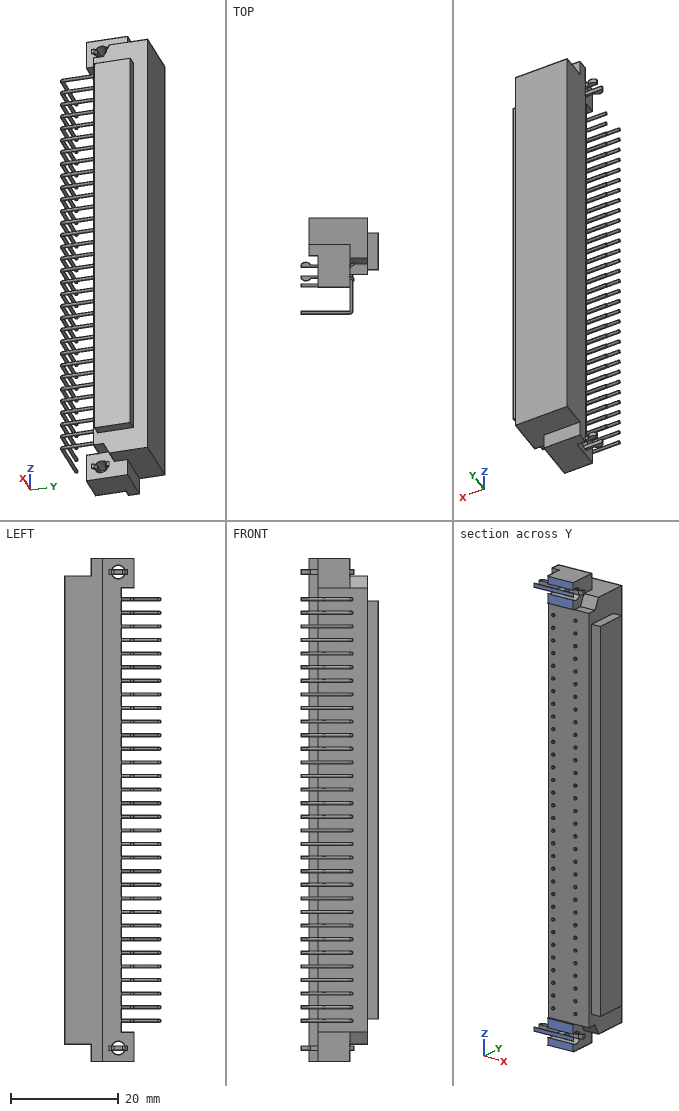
import cadquery as cq


total_length = 94.0
body_length = 87.5
body_depth_x = 11.0
body_width_y = 10.6
step_depth_x = 1.7
step_y = -7.1

ear_depth_x = 7.65
ear_back_y = -4.95
ear_front_y = -13.0
ear_length = 5.5
end_slope_back_y = -7.5
end_slope_front_y = -8.65

shroud_height_x = 2.0
shroud_back_y = -2.8
shroud_front_y = -9.75
shroud_length = 78.1

pin_count = 32
pin_pitch = 2.54
pin_diameter = 0.6
pin_bend_radius = 0.31
pin_tip_x = -1.45
row_spacing = 2 * pin_pitch
long_row_x = 7.95
long_row_y = -17.72
pin_root_depth = 1.0

hole_diameter = 2.5
hole_spacing_pitches = 35
hole_spacing = hole_spacing_pitches * pin_pitch
hole_y = -10.05
clip_thickness = 0.85
clip_half_width = hole_diameter / 2
clip_half_gap = 0.8
clip_barb_half_width = 1.75
clip_barb_length = 1.8
clip_lip_length = 0.75
clip_lip_half_width = 1.75
clip_web_thickness = 1.5

ear_inner_z = total_length / 2 - ear_length


def box(x_range, y_range, z_range):
    """Box spanning the given coordinate ranges."""
    sizes = [high - low for low, high in (x_range, y_range, z_range)]
    corner = (x_range[0], y_range[0], z_range[0])
    return cq.Workplane("XY").box(*sizes, centered=False).translate(corner)


def make_body():
    """Long body with sloped end corners."""
    half_length = body_length / 2
    outline = [
        (0, -half_length),
        (end_slope_back_y, -half_length),
        (end_slope_front_y, -ear_inner_z),
        (-body_width_y, -ear_inner_z),
        (-body_width_y, ear_inner_z),
        (end_slope_front_y, ear_inner_z),
        (end_slope_back_y, half_length),
        (0, half_length),
    ]
    return cq.Workplane("YZ").polyline(outline).close().extrude(body_depth_x)


def make_ear(side):
    """Mounting ear at the upper (side = 1) or lower (side = -1) end."""
    z_range = sorted((side * ear_inner_z, side * total_length / 2))
    return box((0, ear_depth_x), (ear_front_y, ear_back_y), z_range)


def make_shroud():
    """Raised mating block on the +X face."""
    half_length = shroud_length / 2
    x_range = (body_depth_x, body_depth_x + shroud_height_x)
    return box(x_range, (shroud_front_y, shroud_back_y), (-half_length, half_length))


def make_pin(bend_x, pin_y):
    """Bent pin: runs from its tip along +X, then turns toward the body along +Y."""
    path = (
        cq.Workplane("XY")
        .moveTo(pin_tip_x, pin_y)
        .lineTo(bend_x - pin_bend_radius, pin_y)
        .radiusArc((bend_x, pin_y + pin_bend_radius), -pin_bend_radius)
        .lineTo(bend_x, -body_width_y + pin_root_depth)
    )
    section = cq.Workplane("YZ", origin=(pin_tip_x, pin_y, 0)).circle(pin_diameter / 2)
    return section.sweep(path)


def make_clip():
    """Two barbed prongs joined by a web, lying in the plane of the hole axis."""
    lip_end_x = ear_depth_x + clip_lip_length
    barb_end_x = pin_tip_x + clip_barb_length
    barb_peak = (pin_tip_x + clip_barb_length / 2, clip_barb_half_width)
    prong = (
        cq.Workplane("XY")
        .moveTo(pin_tip_x, clip_half_gap)
        .lineTo(pin_tip_x, clip_half_width)
        .threePointArc(barb_peak, (barb_end_x, clip_half_width))
        .lineTo(ear_depth_x, clip_half_width)
        .lineTo(lip_end_x, clip_lip_half_width)
        .lineTo(lip_end_x, clip_half_width)
        .lineTo(ear_depth_x, clip_half_gap)
        .close()
        .extrude(clip_thickness / 2, both=True)
    )
    web_x = (step_depth_x + ear_depth_x) / 2
    web = cq.Workplane("XY").box(clip_web_thickness, 2 * clip_half_width, clip_thickness)
    prongs = prong.union(prong.mirror("XZ"))
    return prongs.union(web.translate((web_x, 0, 0)))


def make_hole():
    """Round cutter through an ear along X."""
    return cq.Workplane("YZ").circle(hole_diameter / 2).extrude(ear_depth_x)


result = make_body().union(make_shroud())
for side in (1, -1):
    result = result.union(make_ear(side))

half_total = total_length / 2
result = result.cut(box((0, step_depth_x), (ear_front_y, step_y), (-half_total, half_total)))

for side in (1, -1):
    hole_center = (0, hole_y, side * hole_spacing / 2)
    result = result.cut(make_hole().translate(hole_center))
    result = result.union(make_clip().translate(hole_center))

long_pin = make_pin(long_row_x, long_row_y)
short_pin = make_pin(long_row_x - row_spacing, long_row_y + row_spacing)
pins = []
for index in range(pin_count):
    pin_z = (index - (pin_count - 1) / 2) * pin_pitch
    for pin in (long_pin, short_pin):
        pins.append(pin.translate((0, 0, pin_z)).val())
result = cq.Workplane(result.val().fuse(*pins))